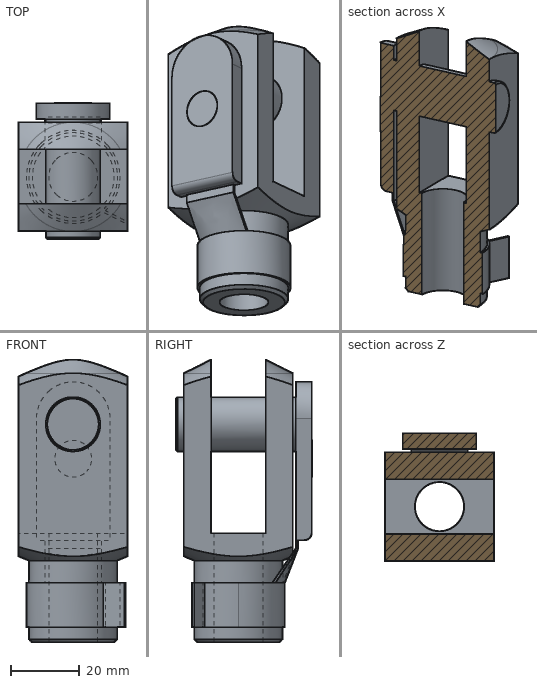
import cadquery as cq
import math

total_height = 83.0
body_width = 32.0
half_width = body_width / 2
slot_width = body_width / 2
slot_floor_z = 32.0
top_slope = 0.5
outer_slope = 0.53
shoulder_slope = 0.42
rim_margin = 0.8

shank_radius = 26.0 / 2
shank_top_z = 24.0
shank_chamfer = 1.0
bore_diameter = 14.4

pin_diameter = 16.0
pin_z = 64.0
pin_end_y = -18.35
pin_chamfer = 0.5

plate_inner_y = 16.85
plate_outer_y = 21.6
plate_width = 21.6
plate_bottom_z = 30.0
plate_arc_z = 65.7
plate_bend_radius = 2.2
button_diameter = 10.8
button_z = 53.95
button_height = 0.1

ring_radius = 13.7
ring_bottom_z = 4.5
ring_top_z = 17.5
ring_thickness = ring_radius - shank_radius

strip_half_width = 8.3
strip_bend_z = 27.55
strip_overlap = 0.8

tab_root_x = 8.9
tab_end_x = 15.1
tab_end_y = -13.5


def make_fork():
    """Square head with conical ends, slotted between the two arms."""
    corner_radius = half_width * math.sqrt(2) + rim_margin
    slot_edge = slot_width / 2
    break_z = total_height - (half_width - slot_edge) * top_slope
    top_rim_z = break_z - (corner_radius - half_width) * outer_slope
    apex_z = total_height + slot_edge * top_slope
    shoulder_rim_z = shank_top_z + (corner_radius - shank_radius) * shoulder_slope
    turned = (
        cq.Workplane("XZ")
        .moveTo(0, 0)
        .lineTo(shank_radius - shank_chamfer, 0)
        .lineTo(shank_radius, shank_chamfer)
        .lineTo(shank_radius, shank_top_z)
        .lineTo(corner_radius, shoulder_rim_z)
        .lineTo(corner_radius, top_rim_z)
        .lineTo(half_width, break_z)
        .lineTo(0, apex_z)
        .close()
        .revolve(360, (0, 0, 0), (0, 1, 0))
    )
    square = cq.Workplane("XY").rect(body_width, body_width).extrude(apex_z)
    slot = cq.Workplane("XY").workplane(offset=slot_floor_z).rect(body_width, slot_width).extrude(apex_z)
    bore = cq.Workplane("XY").circle(bore_diameter / 2).extrude(slot_floor_z)
    return turned.intersect(square).cut(slot).cut(bore)


def make_pin():
    """Pin through both arms, chamfered at its free end."""
    pin = (
        cq.Workplane("XZ", origin=(0, pin_end_y, pin_z))
        .circle(pin_diameter / 2)
        .extrude(pin_end_y - plate_inner_y)
    )
    return pin.faces("<Y").chamfer(pin_chamfer)


def make_plate():
    """Round-topped plate with a rounded lower outer edge and a low button."""
    plate_thickness = plate_outer_y - plate_inner_y
    plate = (
        cq.Workplane("XZ", origin=(0, plate_inner_y, 0))
        .moveTo(-plate_width / 2, plate_bottom_z)
        .lineTo(plate_width / 2, plate_bottom_z)
        .lineTo(plate_width / 2, plate_arc_z)
        .threePointArc((0, plate_arc_z + plate_width / 2), (-plate_width / 2, plate_arc_z))
        .close()
        .extrude(-plate_thickness)
    )
    plate = plate.faces("<Z").edges(">Y").fillet(plate_bend_radius)
    button = (
        cq.Workplane("XZ", origin=(0, plate_outer_y, button_z))
        .circle(button_diameter / 2)
        .extrude(-button_height)
    )
    return plate.union(button)


def make_ring():
    """Sheet ring hugging the shank."""
    return (
        cq.Workplane("XY", origin=(0, 0, ring_bottom_z))
        .circle(ring_radius)
        .circle(shank_radius)
        .extrude(ring_top_z - ring_bottom_z)
    )


def strip_section(inner_y, inner_crown, outer_y, outer_crown, z):
    """Closed strip section; each long edge bulges from its end y to its crown y."""
    half = strip_half_width

    def point(x, y):
        return cq.Vector(x, y, z)

    def long_edge(end_y, crown_y):
        if crown_y == end_y:
            return cq.Edge.makeLine(point(-half, end_y), point(half, end_y))
        return cq.Edge.makeThreePointArc(point(-half, end_y), point(0, crown_y), point(half, end_y))

    return cq.Wire.assembleEdges([
        long_edge(inner_y, inner_crown),
        cq.Edge.makeLine(point(half, inner_y), point(half, outer_y)),
        long_edge(outer_y, outer_crown),
        cq.Edge.makeLine(point(-half, outer_y), point(-half, inner_y)),
    ])


def make_strip():
    """Strip that follows the ring at its foot and flattens towards the plate."""
    foot_inner_y = math.sqrt(shank_radius**2 - strip_half_width**2)
    foot_outer_y = math.sqrt(ring_radius**2 - strip_half_width**2)
    flat_outer_y = plate_inner_y + ring_thickness
    foot = strip_section(foot_inner_y, shank_radius, foot_outer_y, ring_radius, ring_top_z)
    bend = strip_section(plate_inner_y, plate_inner_y, flat_outer_y, flat_outer_y, strip_bend_z)
    slope = cq.Workplane(cq.Solid.makeLoft([foot, bend], True))
    upright = (
        cq.Workplane("XY", origin=(0, plate_inner_y + ring_thickness / 2, strip_bend_z))
        .rect(2 * strip_half_width, ring_thickness)
        .extrude(plate_bottom_z + strip_overlap - strip_bend_z)
    )
    return slope.union(upright)


def make_tab():
    """Flat tab leaving the ring towards +X."""
    root_y = -math.sqrt(ring_radius**2 - tab_root_x**2)
    length = math.hypot(tab_end_x - tab_root_x, tab_end_y - root_y)
    shift_x = -(tab_end_y - root_y) / length * ring_thickness
    shift_y = (tab_end_x - tab_root_x) / length * ring_thickness
    return (
        cq.Workplane("XY", origin=(0, 0, ring_bottom_z))
        .moveTo(tab_root_x, root_y)
        .lineTo(tab_end_x, tab_end_y)
        .lineTo(tab_end_x + shift_x, tab_end_y + shift_y)
        .lineTo(tab_root_x + shift_x, root_y + shift_y)
        .close()
        .extrude(ring_top_z - ring_bottom_z)
    )


result = (
    make_fork()
    .union(make_pin())
    .union(make_plate())
    .union(make_ring())
    .union(make_strip())
    .union(make_tab())
)